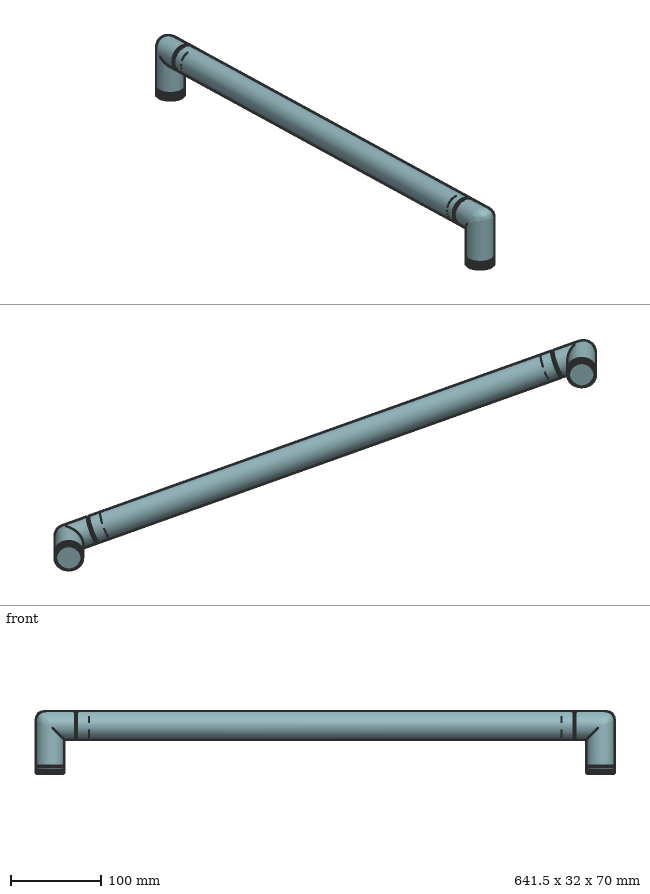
import cadquery as cq

length = 641.5
height = 70.0
diameter = 32.0
radius = diameter / 2

corner_rounding = 11.0

joint_inset = 43.5
joint_gap = 2.5
spigot_radius = 15.0
socket_depth = 13.0

foot_chamfer = 2.0
foot_groove_heights = (3.0, 8.0)
foot_groove_width = 2.0
foot_groove_depth = 0.5

axis_height = height - radius
leg_offset = length / 2 - radius
joint_x = length / 2 - joint_inset
bar_end_x = joint_x - joint_gap
blend_offset = radius - corner_rounding

ALONG_X = cq.Vector(1, 0, 0)
ALONG_Z = cq.Vector(0, 0, 1)


def arm_rod(start_x, end_x, rod_radius):
    """Round rod on the bar axis."""
    start = cq.Vector(start_x, 0, axis_height)
    return cq.Workplane(cq.Solid.makeCylinder(rod_radius, end_x - start_x, start, ALONG_X))


def leg_rod(bottom, top, rod_radius):
    """Round rod on the axis of the left leg."""
    start = cq.Vector(-leg_offset, 0, bottom)
    return cq.Workplane(cq.Solid.makeCylinder(rod_radius, top - bottom, start, ALONG_Z))


def corner_sector(points):
    """Prism across the full width whose XZ outline starts at the left elbow's corner."""
    plane = cq.Workplane("XZ", origin=(-leg_offset, 0, axis_height))
    return plane.moveTo(0, 0).polyline(points, includeCurrent=True).close().extrude(radius, both=True)


def make_arm():
    """Horizontal part of the elbow, from the mitre to the joint."""
    arm = arm_rod(-length / 2, -joint_x, radius)
    inward = leg_offset
    return arm.intersect(corner_sector([(-blend_offset, radius), (inward, radius), (inward, -inward)]))


def make_leg():
    """Vertical part of the elbow, with a chamfered and grooved foot."""
    leg = leg_rod(0, height, radius).faces("<Z").chamfer(foot_chamfer)
    for bottom in foot_groove_heights:
        top = bottom + foot_groove_width
        core = leg_rod(bottom, top, radius - foot_groove_depth)
        leg = leg.cut(leg_rod(bottom, top, radius).cut(core))
    return leg.intersect(corner_sector([(-radius, blend_offset), (-radius, -height), (height, -height)]))


def make_corner_blend():
    """Ellipsoid slice that is tangent to both arm and leg around the outside of the corner."""
    outward_scale = (1 + blend_offset / radius) ** 0.5
    across_scale = (1 - blend_offset / radius) ** 0.5
    blend_tilt = 45
    stretch = cq.Matrix([[outward_scale, 0, 0, 0], [0, 1, 0, 0], [0, 0, across_scale, 0]])
    ball = cq.Workplane().sphere(radius).val()
    ellipsoid = cq.Workplane(ball.transformGeometry(stretch))
    ellipsoid = ellipsoid.rotate((0, 0, 0), (0, 1, 0), blend_tilt).translate((-leg_offset, 0, axis_height))
    return ellipsoid.intersect(
        corner_sector([(-blend_offset, radius), (-radius, radius), (-radius, blend_offset)])
    )


def make_left_elbow():
    spigot = arm_rod(-joint_x, -bar_end_x + socket_depth, spigot_radius)
    return make_arm().union(make_leg()).union(make_corner_blend()).union(spigot)


def make_bar():
    """Straight round bar with a socket in each end."""
    bar = arm_rod(-bar_end_x, bar_end_x, radius)
    socket_x = bar_end_x - socket_depth
    left_socket = arm_rod(-bar_end_x, -socket_x, spigot_radius)
    return bar.cut(left_socket).cut(left_socket.mirror("YZ"))


bar = make_bar().solids()
left_elbow = make_left_elbow().solids()
right_elbow = left_elbow.mirror("YZ")

result = cq.Compound.makeCompound([bar.val(), left_elbow.val(), *right_elbow.solids().vals()])